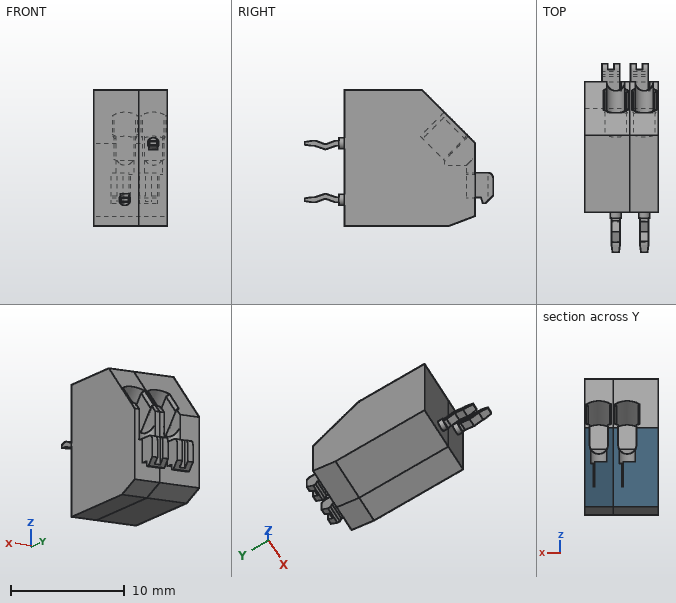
import cadquery as cq


pole_pitch = 2.5
end_wall = 1.5
pole_x = [end_wall, end_wall + pole_pitch]
housing_left_x = [0.0, pole_x[1]]
axis_offset = pole_pitch / 2

housing_depth = 11.5
housing_height = 12.0
slope_drop = 4.7
bottom_taper_length = 2.32
bottom_taper_rise = 0.88

entry_y = 9.9
entry_end_radius = 1.61
entry_half_width = 0.95
entry_depth = 2.99
mouth_half_width = 1.1
mouth_depth = 0.38

channel_radius = 0.8
channel_axis_z = 6.18
channel_top_z = 7.97
channel_length = 2.74
notch_floor_z = 4.56

lever_inset = 0.03
lever_width = 1.6
lever_reach = 1.6
lever_top_z = 4.71
lever_bottom_z = 2.5
lever_round = 0.5
lever_gap = 0.1
nose_top_z = 2.69
nose_tip_z = 2.01
nose_outer_inset = 0.68
nose_inner_inset = 0.93
nose_root_inset = 1.1
prong_width = 0.53
prong_length = 0.5

pin_z = [2.32, 7.29]
bend_direction = [1, -1]
collar_radius = 0.5
collar_length = 0.5
pin_width = 0.76
pin_thickness = 0.46
pin_length = 3.5
tip_start = 2.87
tip_width = 0.6
tip_thickness = 0.27
crest_at = 1.68
crest_rise = 0.32
outer_bend_half = 0.93
inner_bend_half = 0.85

slope_low_z = housing_height - slope_drop


def block(x0, x1, y0, y1, z0, z1):
    return cq.Workplane("XY").box(x1 - x0, y1 - y0, z1 - z0, centered=False).translate((x0, y0, z0))


def housing_blank(left_x, right_x):
    profile = [
        (0, 0),
        (housing_depth - bottom_taper_length, 0),
        (housing_depth, bottom_taper_rise),
        (housing_depth, slope_low_z),
        (housing_depth - slope_drop, housing_height),
        (0, housing_height),
    ]
    return cq.Workplane("YZ", origin=(left_x, 0, 0)).polyline(profile).close().extrude(right_x - left_x)


def wire_entry(axis_x):
    """Rounded slot and its flared mouth, sunk square to the 45 degree slope."""
    entry_z = slope_low_z + housing_depth - entry_y
    slope = cq.Plane(origin=(axis_x, entry_y, entry_z), xDir=(1, 0, 0), normal=(0, 1, 1))
    round_hole = cq.Workplane(slope).circle(entry_end_radius).extrude(-entry_depth)
    sides = cq.Workplane(slope).rect(2 * entry_half_width, 2 * entry_end_radius).extrude(-entry_depth)
    mouth_profile = [
        (-mouth_half_width, 0),
        (mouth_half_width, 0),
        (entry_half_width, -mouth_depth),
        (-entry_half_width, -mouth_depth),
    ]
    cross_section = cq.Plane(origin=slope.origin, xDir=(1, 0, 0), normal=(0, -1, 1))
    mouth = cq.Workplane(cross_section).polyline(mouth_profile).close().extrude(entry_end_radius, both=True)
    return round_hole.intersect(sides.union(mouth))


def wire_channel(axis_x):
    back = cq.Workplane("XZ", origin=(axis_x, housing_depth, 0))
    floor = back.center(0, channel_axis_z).circle(channel_radius).extrude(channel_length)
    opening = block(
        axis_x - channel_radius, axis_x + channel_radius,
        housing_depth - channel_length, housing_depth,
        channel_axis_z, channel_top_z,
    )
    notch = (
        cq.Workplane("XY", origin=(axis_x, housing_depth, notch_floor_z))
        .circle(channel_radius)
        .extrude(channel_axis_z - notch_floor_z)
    )
    return floor.union(opening).union(notch)


def lever(left_x):
    """Lever with a hooked nose and a forked end, rooted inside the back of the housing."""
    root_y = housing_depth - channel_radius
    end_y = housing_depth + lever_reach
    profile = (
        cq.Workplane("YZ", origin=(left_x, 0, 0))
        .moveTo(root_y, lever_bottom_z)
        .lineTo(root_y, lever_top_z)
        .lineTo(end_y - lever_round, lever_top_z)
        .radiusArc((end_y, lever_top_z - lever_round), lever_round)
        .lineTo(end_y, nose_top_z)
        .lineTo(end_y - nose_outer_inset, nose_tip_z)
        .lineTo(end_y - nose_inner_inset, nose_tip_z)
        .lineTo(end_y - nose_root_inset, lever_bottom_z)
        .close()
    )
    fork = block(
        left_x + prong_width, left_x + lever_width - prong_width,
        end_y - prong_length, end_y,
        nose_tip_z, lever_top_z,
    )
    return profile.extrude(lever_width).cut(fork)


def housing(index):
    left_x = pole_x[index]
    axis_x = left_x + axis_offset
    lever_x = left_x + lever_inset
    lever_right_x = lever_x + lever_width
    gap = block(
        lever_right_x, lever_right_x + lever_gap,
        housing_depth - channel_radius, housing_depth,
        lever_bottom_z, notch_floor_z,
    )
    body = housing_blank(housing_left_x[index], left_x + pole_pitch)
    body = body.cut(wire_entry(axis_x)).cut(wire_channel(axis_x)).cut(gap)
    return body.union(lever(lever_x))


def pin(index):
    """Round collar and a flat blade with one V-shaped bend and a tapered tip."""
    half = pin_thickness / 2
    direction = bend_direction[index]
    bend_profile = [
        (0, half),
        (-crest_at + outer_bend_half, half),
        (-crest_at, half + crest_rise),
        (-crest_at - outer_bend_half, half),
        (-tip_start, half),
        (-tip_start, -half),
        (-crest_at - inner_bend_half, -half),
        (-crest_at, -half + crest_rise),
        (-crest_at + inner_bend_half, -half),
        (0, -half),
    ]
    blade = (
        cq.Workplane("YZ")
        .polyline([(y, direction * z) for y, z in bend_profile])
        .close()
        .extrude(pin_width / 2, both=True)
    )
    tip = (
        cq.Workplane("XZ", origin=(0, -tip_start, 0))
        .rect(pin_width, pin_thickness)
        .workplane(offset=pin_length - tip_start)
        .rect(tip_width, tip_thickness)
        .loft()
    )
    collar = cq.Workplane("XZ").circle(collar_radius).extrude(collar_length)
    body = collar.union(blade).union(tip)
    return body.translate((pole_x[index] + axis_offset, 0, pin_z[index]))


housings = [housing(index) for index in range(len(pole_x))]
pins = [pin(index) for index in range(len(pole_x))]

result = cq.Compound.makeCompound([body.val() for body in housings + pins])